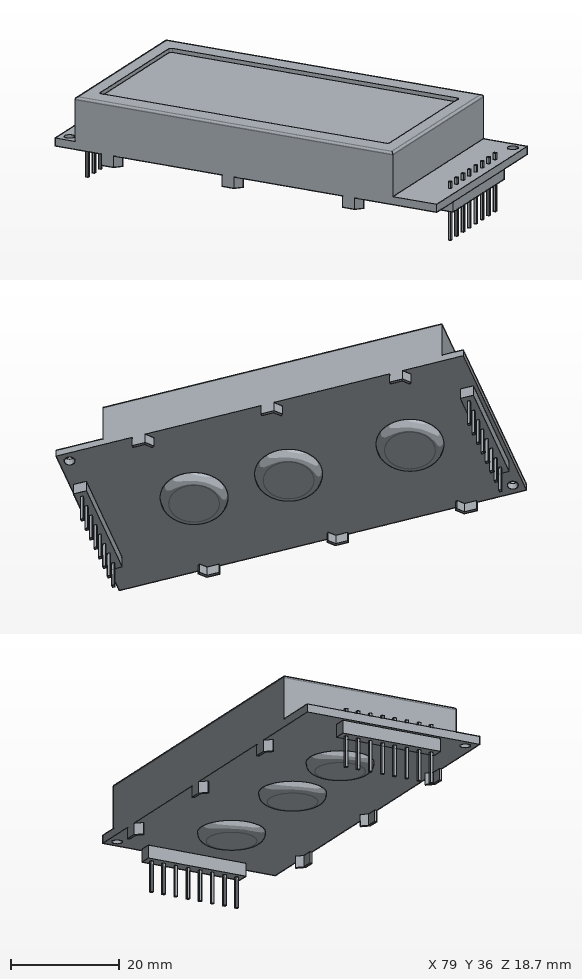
import cadquery as cq
import math

board_length = 79.0
board_width = 36.0
board_thickness = 1.6

case_length = 65.8
case_height = 8.6
case_left_inset = 4.1
case_edge_radius = 0.5
case_center_x = -board_length / 2 + case_left_inset + case_length / 2
case_top = board_thickness + case_height

window_length = 59.9
window_width = 28.1
window_depth = 0.8
window_corner_radius = 0.5

hole_diameter = 2.0
hole_inset = 2.0

pins_per_header = 8
pin_row_span = 17.8
pin_pitch = pin_row_span / (pins_per_header - 1)
pin_size = 0.505
pin_rise = 1.3
pin_drop = 8.5
header_inset = 2.0
header_width = 2.5
header_length = 20.4
header_height = 2.5
header_x = board_length / 2 - header_inset

tab_pitch = 25.0
tab_center_x = -2.6
tab_height = 2.2
tab_thickness = 0.5
tab_straight_length = 2.5
tab_bent_length = 1.8
tab_bend_offset = 0.15
tab_bend_angle = 48.0

cover_offsets = (-20.55, 3.0, 21.3)
cover_radius = 6.25
cover_height = 1.7
cover_flat_radius = 4.7


def make_board():
    hole_x = board_length / 2 - hole_inset
    hole_y = board_width / 2 - hole_inset
    return (
        cq.Workplane("XY")
        .rect(board_length, board_width)
        .extrude(board_thickness)
        .faces(">Z")
        .workplane(origin=(0, 0, 0))
        .pushPoints([(-hole_x, -hole_y), (hole_x, hole_y)])
        .hole(hole_diameter)
    )


def make_case():
    case = (
        cq.Workplane("XY", origin=(case_center_x, 0, board_thickness))
        .rect(case_length, board_width)
        .extrude(case_height)
        .faces(">Z")
        .edges()
        .fillet(case_edge_radius)
    )
    window = (
        cq.Workplane("XY", origin=(case_center_x, 0, case_top))
        .rect(window_length, window_width)
        .extrude(-window_depth)
        .edges("|Z")
        .fillet(window_corner_radius)
    )
    return case.cut(window)


def make_header(center_x):
    body = (
        cq.Workplane("XY", origin=(center_x, 0, 0))
        .rect(header_width, header_length)
        .extrude(-header_height)
    )
    pins = (
        cq.Workplane("XY", origin=(center_x, 0, -pin_drop))
        .rarray(0.8, pin_pitch, 1, pins_per_header)
        .rect(pin_size, pin_size)
        .extrude(pin_drop + board_thickness + pin_rise)
    )
    return body.union(pins)


def make_tab(bend_x):
    """Tab on the -Y side; its legs meet at bend_x."""
    outer_y = -board_width / 2
    straight = (
        cq.Workplane("XY", origin=(bend_x, outer_y, 0))
        .rect(-tab_straight_length, tab_thickness, centered=False)
        .extrude(-tab_height)
    )
    bent = (
        cq.Workplane("XY", origin=(bend_x, outer_y, 0))
        .transformed(rotate=(0, 0, tab_bend_angle))
        .rect(tab_bent_length, tab_thickness, centered=False)
        .extrude(-tab_height)
    )
    return straight.union(bent)


def make_cover(center_x):
    """Flat-bottomed dome whose rim bulges outward along a single arc."""
    rim_width = cover_radius - cover_flat_radius
    rim_mid_share = math.sin(math.radians(45))
    mid_radius = cover_flat_radius + rim_width * rim_mid_share
    mid_z = -cover_height * rim_mid_share
    return (
        cq.Workplane("XZ", origin=(center_x, 0, 0))
        .lineTo(cover_radius, 0)
        .threePointArc((mid_radius, mid_z), (cover_flat_radius, -cover_height))
        .lineTo(0, -cover_height)
        .close()
        .revolve(360, (0, 0, 0), (0, 1, 0))
    )


result = make_board().union(make_case())

for header_side in (-1, 1):
    result = result.union(make_header(header_side * header_x))

tab_axis = ((tab_center_x, 0, 0), (tab_center_x, 0, 1))
for tab_step in (-1, 0, 1):
    tab = make_tab(tab_center_x + tab_step * tab_pitch + tab_bend_offset)
    result = result.union(tab).union(tab.rotate(*tab_axis, 180))

for cover_offset in cover_offsets:
    result = result.union(make_cover(case_center_x + cover_offset))